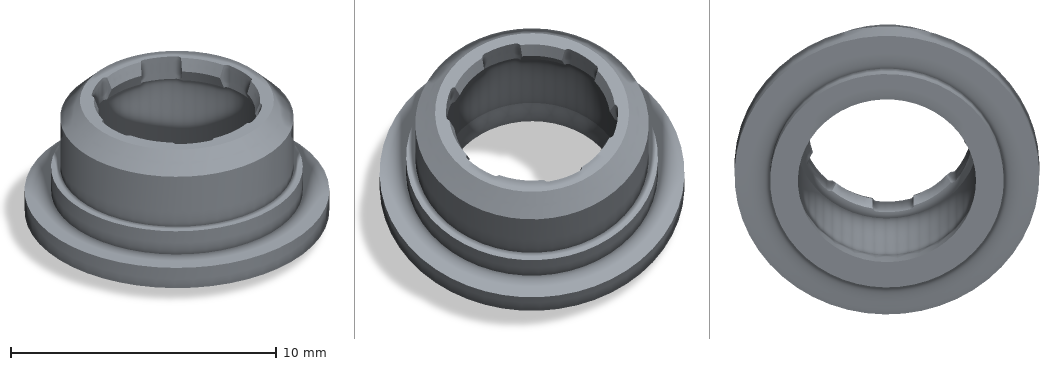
import cadquery as cq
import math

flange_radius = 5.75
shoulder_radius = 4.75
barrel_radius = 4.4
height = 5.35
flange_bottom = 0.52
flange_top = 1.4
shoulder_top = 2.42
chamfer_size = 0.75

bore_radius = 7.0 / 2
mouth_height = 1.0
mouth_radius = 3.36

ring_height = 0.98
ring_bottom = height - ring_height
tooth_edge_radius = 3.14
tooth_crest_radius = 2.95
notch_radius = 3.24
notch_width = 1.55
notch_corner_radius = 0.18
notch_count = 6
first_notch_angle = 30.0


def make_body():
    """Revolve the whole ring, with teeth as one continuous double-cone ridge."""
    profile = [
        (mouth_radius, 0),
        (barrel_radius, 0),
        (barrel_radius, flange_bottom),
        (flange_radius, flange_bottom),
        (flange_radius, flange_top),
        (shoulder_radius, flange_top),
        (shoulder_radius, shoulder_top),
        (barrel_radius, shoulder_top),
        (barrel_radius, height - chamfer_size),
        (barrel_radius - chamfer_size, height),
        (tooth_edge_radius, height),
        (tooth_crest_radius, height - ring_height / 2),
        (tooth_edge_radius, ring_bottom),
        (bore_radius, ring_bottom),
        (bore_radius, mouth_height),
    ]
    return cq.Workplane("XZ").polyline(profile).close().revolve(360, (0, 0), (0, 1))


def make_notch(angle):
    """Radial slot with a round floor about the axis and rounded floor corners."""
    half_width = notch_width / 2
    corner_x = math.sqrt(notch_radius**2 - half_width**2)
    notch = (
        cq.Workplane("XY", origin=(0, 0, ring_bottom))
        .moveTo(0, -half_width)
        .lineTo(corner_x, -half_width)
        .threePointArc((notch_radius, 0), (corner_x, half_width))
        .lineTo(0, half_width)
        .close()
        .extrude(ring_height)
        .edges("|Z")
        .edges(">X")
        .fillet(notch_corner_radius)
    )
    return notch.rotate((0, 0, 0), (0, 0, 1), angle)


result = make_body()
for index in range(notch_count):
    result = result.cut(make_notch(first_notch_angle + index * 360 / notch_count))